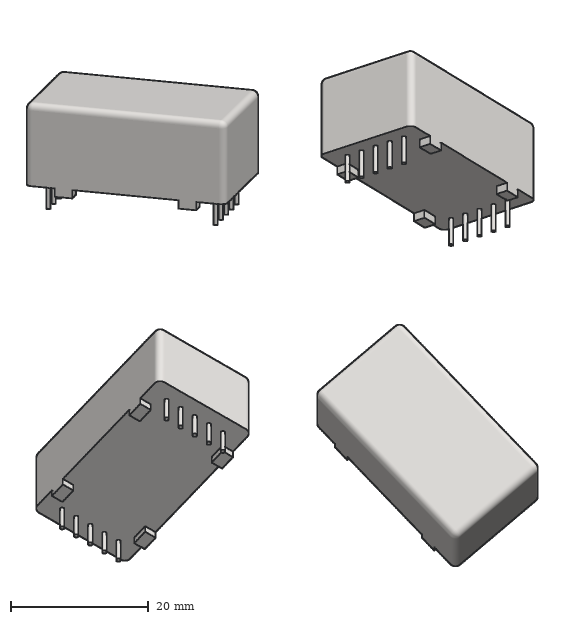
import cadquery as cq

case_length = 30.48
case_width = 16.76
overall_height = 16.79
pin_length = 4.24
case_height = overall_height - pin_length
edge_radius = 1.0

pin_diameter = 0.66
pin_pitch = 2.54
pins_per_row = 5
row_spacing = 25.4

foot_length = 2.67
foot_width = 1.9
foot_height = 1.27
foot_spacing_x = 18.82
foot_spacing_y = case_width - foot_width


def make_case():
    """Block standing on Z = 0 with rounded vertical and top edges."""
    block = cq.Workplane("XY").box(
        case_length, case_width, case_height, centered=(True, True, False)
    )
    return block.edges("|Z or >Z").fillet(edge_radius)


def make_pins():
    """Two rows of round pins pointing down from the underside."""
    return (
        cq.Workplane("XY")
        .rarray(row_spacing, pin_pitch, 2, pins_per_row)
        .circle(pin_diameter / 2)
        .extrude(-pin_length)
    )


def make_feet():
    """Four rectangular standoff feet below the underside."""
    return (
        cq.Workplane("XY")
        .rarray(foot_spacing_x, foot_spacing_y, 2, 2)
        .rect(foot_length, foot_width)
        .extrude(-foot_height)
    )


result = make_case().union(make_pins()).union(make_feet())